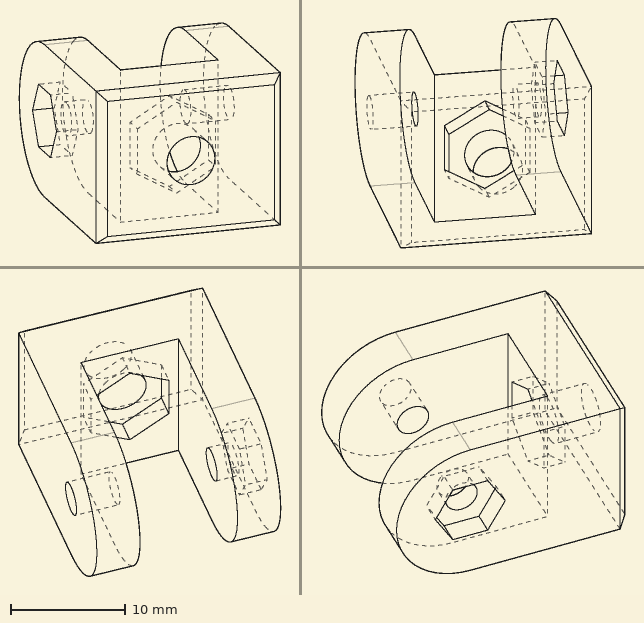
import cadquery as cq
import math

length = 22.0
width = 17.0
height = 14.0

end_radius = height / 2
arm_thickness = 4.0
slot_width = width - 2 * arm_thickness
slot_depth = 16.02
base_chamfer = 0.8

pin_diameter = 3.0
pin_nut_flats = 5.75
pin_nut_depth = 2.0

bolt_diameter = 4.4
bolt_nut_flats = 7.22
bolt_nut_depth = 2.0

base_end = length - end_radius
slot_floor = slot_depth - end_radius


def corner_diameter(across_flats):
    """Diameter through the corners of a regular hexagon."""
    return across_flats / math.cos(math.pi / 6)


def fork_body():
    body = (
        cq.Workplane("XZ")
        .moveTo(0, end_radius)
        .lineTo(base_end, end_radius)
        .lineTo(base_end, -end_radius)
        .lineTo(0, -end_radius)
        .threePointArc((-end_radius, 0), (0, end_radius))
        .close()
        .extrude(width / 2, both=True)
    )
    body = body.faces(">X").edges().chamfer(base_chamfer)
    slot = (
        cq.Workplane("XY")
        .box(slot_depth, slot_width, height)
        .translate((slot_floor - slot_depth / 2, 0, 0))
    )
    return body.cut(slot)


def pin_cutter():
    hole = cq.Workplane("XZ").circle(pin_diameter / 2).extrude(width / 2, both=True)
    nut_pocket = (
        cq.Workplane("XZ", origin=(0, -width / 2, 0))
        .polygon(6, corner_diameter(pin_nut_flats))
        .extrude(-pin_nut_depth)
    )
    return hole.union(nut_pocket)


def bolt_cutter():
    floor = cq.Workplane("YZ", origin=(slot_floor, 0, 0))
    hole = floor.circle(bolt_diameter / 2).extrude(length - slot_depth)
    nut_pocket = (
        floor.transformed(rotate=(0, 0, 90))
        .polygon(6, corner_diameter(bolt_nut_flats))
        .extrude(bolt_nut_depth)
    )
    return hole.union(nut_pocket)


result = fork_body().cut(pin_cutter()).cut(bolt_cutter())